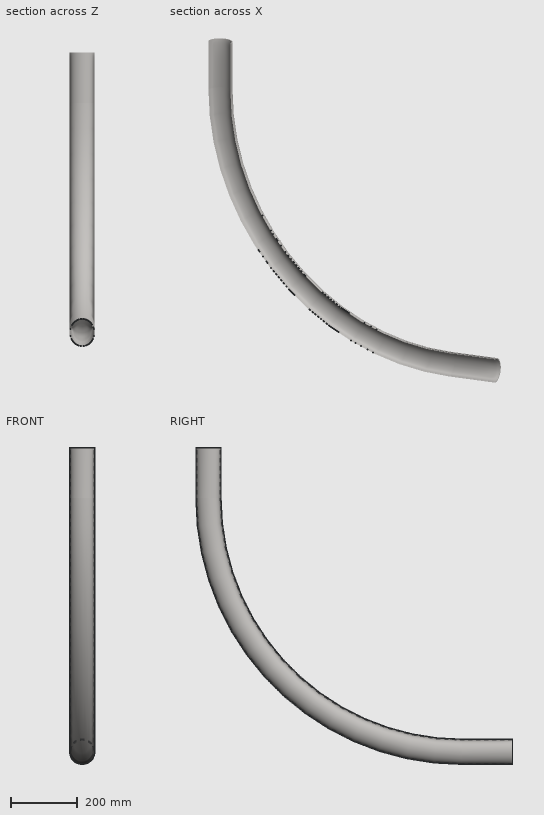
import cadquery as cq

outer_diameter = 76.2
inner_diameter = 70.1

bend_radius = 762.0
leg_length = 152.4


def ring(workplane):
    """Draw the annular tube section on a workplane."""
    return workplane.circle(outer_diameter / 2).circle(inner_diameter / 2)


def vertical_leg():
    """Straight leg rising along +Z from the upper end of the bend."""
    start = cq.Workplane("XY", origin=(0, 0, bend_radius))
    return ring(start).extrude(leg_length)


def quarter_bend():
    """Quarter turn in the YZ plane, from vertical down to horizontal along +Y."""
    start = cq.Workplane("XY", origin=(0, 0, bend_radius))
    axis_start = (0, bend_radius)
    axis_end = (1, bend_radius)
    return ring(start).revolve(90, axis_start, axis_end)


def horizontal_leg():
    """Straight leg running along +Y from the lower end of the bend."""
    start = cq.Workplane("XZ", origin=(0, bend_radius, 0))
    return ring(start).extrude(-leg_length)


result = quarter_bend().union(vertical_leg()).union(horizontal_leg())